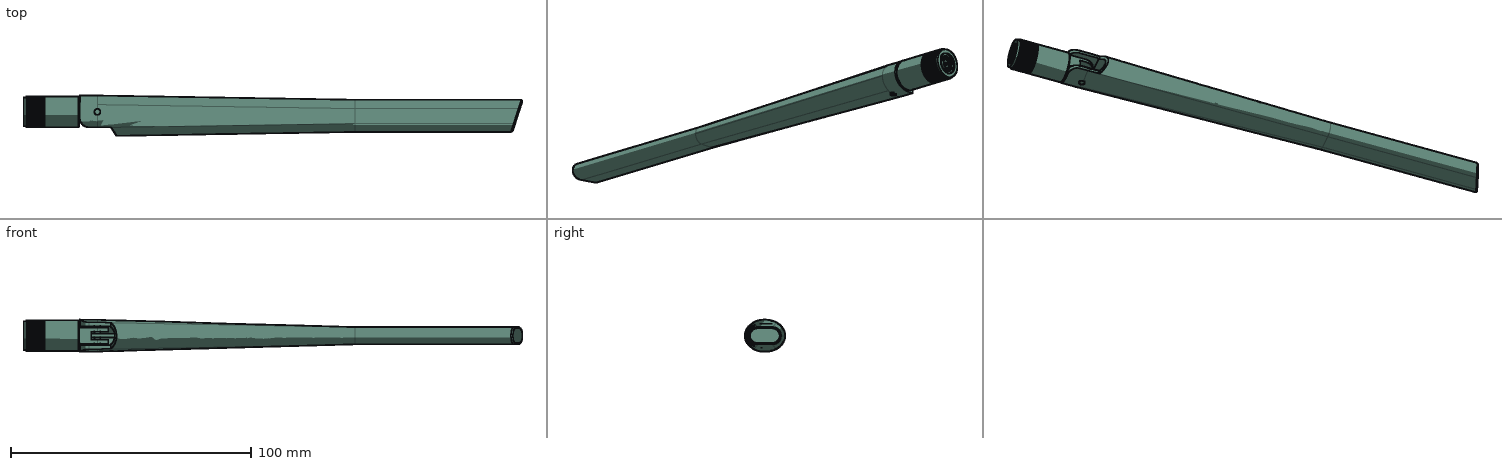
import cadquery as cq
import math


whip_height = 13.5
whip_radius = whip_height / 2
barrel_radius = 6.5

nut_length = 9.0
lip_length = 1.15
lip_radius = 6.0
knurl_teeth = 48
knurl_depth = 0.52
groove_start = 6.9
groove_width = 0.6
nut_bore_radius = 4.4

barrel_end = 23.3
barrel_chamfer = 0.5
face_recess = 0.6
socket_radii = (3.3, 3.0, 2.5)
socket_step_depth = 0.6
insulator_radius = 1.77
contact_hole_radius = 0.6
contact_hole_depth = 2.0

pivot_x = 30.7
tongue_half_width = 3.3
tongue_radius = 4.5
prong_gap_half = 1.7
prong_gap_start = 28.3
pin_radius = 1.2
pin_half_length = 6.0

barrel_gap = 0.2
whip_start = barrel_end + barrel_gap
base_width = 17.0
taper_end = 138.0
tip_width = 13.5
tip_thickness = 7.3
whip_center_y = -1.7
base_low_y = whip_center_y - base_width / 2
tip_slant = 4.4
tip_corner_x = 208.0
tip_chamfer = 0.6

fork_face_y = -6.5
fork_corner_radius = 3.7
step_start = 36.4
step_end = 38.8
slot_clearance = 0.6
slot_half_width = tongue_half_width + slot_clearance
slot_straight_end = 36.0
slot_end = 38.0
slot_floor_wall = 1.0
slot_floor_radius = whip_radius - slot_floor_wall

cable_radius = 0.8
cable_y = -2.3
cable_end = 45.7


def x_cylinder(start, end, radius, y=0.0):
    """Cylinder along X between two stations."""
    return cq.Workplane("YZ", origin=(start, y, 0)).circle(radius).extrude(end - start)


def whip_plane(x):
    """Workplane across X, centred on the whip's centre line."""
    return cq.Workplane("YZ", origin=(x, whip_center_y, 0))


def z_cylinder(radius, half_length):
    """Cylinder along Z on the hinge axis."""
    return (
        cq.Workplane("XY", origin=(pivot_x, 0, 0))
        .circle(radius)
        .extrude(half_length, both=True)
    )


def knurled_cylinder(start, end):
    """Cylinder along X with V-shaped teeth around it."""
    points = []
    for i in range(2 * knurl_teeth):
        radius = barrel_radius - knurl_depth * (i % 2)
        angle = math.pi * i / knurl_teeth
        points.append((radius * math.cos(angle), radius * math.sin(angle)))
    return cq.Workplane("YZ", origin=(start, 0, 0)).polyline(points).close().extrude(end - start)


def make_nut():
    """Knurled coupling nut with a plain lip and a groove near its back."""
    groove_end = groove_start + groove_width
    nut = x_cylinder(0, nut_length, lip_radius)
    nut = nut.union(knurled_cylinder(lip_length, groove_start))
    nut = nut.union(knurled_cylinder(groove_end, nut_length))
    return nut.cut(x_cylinder(0, nut_length, nut_bore_radius))


def make_barrel():
    """Barrel with the connector in front and the two-pronged hinge tongue behind."""
    barrel = x_cylinder(nut_length, barrel_end, barrel_radius).faces(">X").chamfer(barrel_chamfer)
    barrel = barrel.union(x_cylinder(face_recess, nut_length, nut_bore_radius))

    insulator = x_cylinder(face_recess, nut_length, insulator_radius)
    for step, radius in enumerate(socket_radii, start=1):
        floor = face_recess + step * socket_step_depth
        barrel = barrel.cut(x_cylinder(face_recess, floor, radius).cut(insulator))
    contact_hole = x_cylinder(face_recess, face_recess + contact_hole_depth, contact_hole_radius)
    barrel = barrel.cut(contact_hole)

    tongue_length = pivot_x - barrel_end
    tongue = cq.Workplane("XY").box(
        tongue_length, 2 * tongue_radius, 2 * tongue_half_width, centered=(False, True, True)
    ).translate((barrel_end, 0, 0))
    tongue = tongue.union(z_cylinder(tongue_radius, tongue_half_width))
    prong_gap = cq.Workplane("XY").box(
        pivot_x + tongue_radius - prong_gap_start,
        2 * tongue_radius,
        2 * prong_gap_half,
        centered=(False, True, True),
    ).translate((prong_gap_start, 0, 0))
    barrel = barrel.union(tongue.cut(prong_gap))
    return barrel.cut(z_cylinder(pin_radius, pin_half_length))


def whip_blank():
    """Solid whip: elliptical base, tapered middle and slanted flat-sided tip."""
    base = whip_plane(whip_start).ellipse(base_width / 2, whip_radius).extrude(pivot_x - whip_start)
    taper = (
        whip_plane(pivot_x)
        .ellipse(base_width / 2, whip_radius)
        .workplane(offset=taper_end - pivot_x)
        .slot2D(tip_width, tip_thickness)
        .loft()
    )
    tip = whip_plane(taper_end).slot2D(tip_width, tip_thickness).extrude(tip_corner_x - taper_end)
    tip_low_y = whip_center_y - tip_width / 2
    tip_high_y = whip_center_y + tip_width / 2
    slant = (
        cq.Workplane("XY")
        .polyline([
            (tip_corner_x - tip_slant, tip_low_y),
            (tip_corner_x, tip_high_y),
            (tip_corner_x, tip_low_y),
        ])
        .close()
        .extrude(whip_radius, both=True)
    )
    tip = tip.cut(slant).faces(">X").chamfer(tip_chamfer)
    return base.union(taper).union(tip)


def fork_step():
    """Material removed below the fork arms, up to the sloped step and the rounded arm corner."""
    arc_offset = fork_corner_radius * (1 - math.sqrt(0.5))
    return (
        cq.Workplane("XY")
        .moveTo(whip_start, base_low_y)
        .lineTo(whip_start, fork_face_y + fork_corner_radius)
        .threePointArc(
            (whip_start + arc_offset, fork_face_y + arc_offset),
            (whip_start + fork_corner_radius, fork_face_y),
        )
        .lineTo(step_start, fork_face_y)
        .lineTo(step_end, base_low_y)
        .close()
        .extrude(whip_radius, both=True)
    )


def fork_slot():
    """Round-ended slot between the fork arms, open toward -Y, with a concave floor."""
    slot = (
        cq.Workplane("XZ", origin=(0, slot_floor_radius, 0))
        .moveTo(whip_start, slot_half_width)
        .lineTo(slot_straight_end, slot_half_width)
        .threePointArc((slot_end, 0), (slot_straight_end, -slot_half_width))
        .lineTo(whip_start, -slot_half_width)
        .close()
        .extrude(slot_floor_radius - base_low_y)
    )
    open_side = cq.Workplane("XY").box(
        slot_end - whip_start, -base_low_y, 2 * slot_half_width, centered=(False, False, True)
    ).translate((whip_start, base_low_y, 0))
    return slot.intersect(open_side.union(x_cylinder(whip_start, slot_end, slot_floor_radius)))


def make_whip():
    """Antenna whip with the hinge fork at its base."""
    whip = whip_blank().cut(fork_step()).cut(fork_slot())
    whip = whip.cut(z_cylinder(pin_radius, whip_radius))
    return whip.cut(make_cable())


def make_hinge_pin():
    """Hinge pin, sunk slightly below the fork arms."""
    return z_cylinder(pin_radius, pin_half_length)


def make_cable():
    """Cable running from the tongue past the hinge pin into the whip."""
    return x_cylinder(prong_gap_start, cable_end, cable_radius, cable_y)


nut = make_nut()
barrel = make_barrel()
whip = make_whip()
hinge_pin = make_hinge_pin()
cable = make_cable()

result = cq.Compound.makeCompound([nut.val(), barrel.val(), whip.val(), hinge_pin.val(), cable.val()])